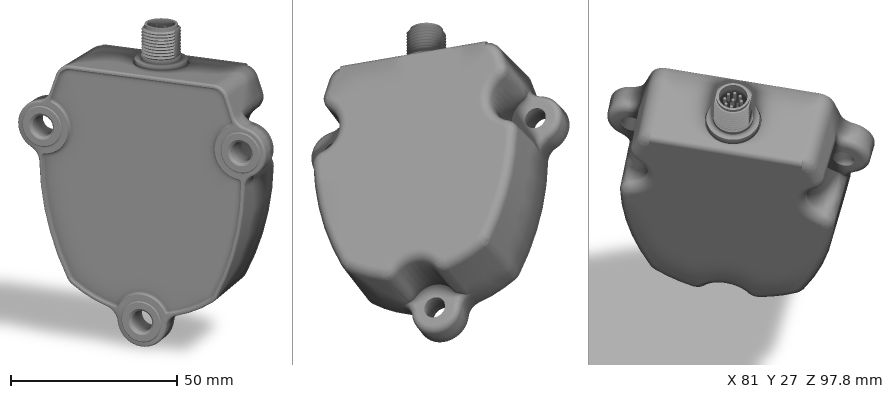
import cadquery as cq
import math


HOUSING_DEPTH = 26.7
DRAFT_ANGLE = 1.8
TOP_Z = 20.2
TOP_HALF_WIDTH = 26.9
SHOULDER_HALF_WIDTH = 32.3
SHOULDER_Z = 4.9
SIDE_MID_X = 30.9
SIDE_MID_Z = -30.3
HIP_HALF_WIDTH = 23.9
HIP_Z = -48.1
BOTTOM_Z = -56.0
CORNER_RADIUS = 5.0
BACK_FILLET = 2.9
TOP_BACK_FILLET = 1.5
TOP_FLAT_HALF_WIDTH = 23.4
RIM_DEPTH = 1.4
RIM_FILLET = 0.7

EAR_RADIUS = 8.0
EAR_DEPTH = 8.3
EAR_JUNCTION_RADIUS = 5.0
EAR_BACK_FILLET = 2.0
EAR_X = 32.5
EAR_ZONE = 12.7
LOWER_EAR_Z = -57.6
EAR_CENTRES = [(-EAR_X, 0), (EAR_X, 0), (0, LOWER_EAR_Z)]
NOTCH_RADIUS = 7.3
NOTCH_LIP_RADIUS = 4.0
HOLE_RADIUS = 3.3
HOLE_CHAMFER = 0.8
PAD_RADIUS = 6.5
PAD_HEIGHT = 0.3
PAD_CHAMFER = 0.3

COVER_INSET = 1.0
COVER_DEPTH = 1.0
COVER_COVE = 0.9
COVER_EAR_RADIUS = 8.5
COVER_CORNER_RADIUS = 1.0

CONNECTOR_Y = 15.2
CONNECTOR_TOP_Z = 32.2
NOSE_RADIUS = 5.0
THREAD_TOP_Z = 31.1
THREAD_BOTTOM_Z = 22.3
THREAD_TURNS = 9
THREAD_CREST_RADIUS = 6.1
THREAD_ROOT_RADIUS = 5.5
THREAD_FLAT_X = 5.3
COLLAR_RADIUS = 6.1
FLANGE_RADIUS = 8.0
FLANGE_TOP_Z = 21.1
SEAT_RADIUS = 8.5
SEAT_Z = 18.8
SOCKET_RADIUS = 4.3
SOCKET_DEPTH = 8.8
PIN_RADIUS = 0.5
PIN_CIRCLE_RADIUS = 2.5
PIN_TIP_FILLET = 0.3
PIN_LENGTH = 7.3
PIN_POSITIONS = 8
KEY_RADIUS = 0.7
KEY_CIRCLE_RADIUS = 4.0
KEY_ANGLE = 135


def facing_back(y):
    """Workplane at depth y whose extrusions run towards +Y, with local Y along Z."""
    return cq.Workplane(cq.Plane(origin=(0, y, 0), xDir=(-1, 0, 0), normal=(0, 1, 0)))


def housing_outline(y):
    """Closed sharp-cornered housing outline at depth y."""
    return (
        facing_back(y)
        .moveTo(-TOP_HALF_WIDTH, TOP_Z)
        .lineTo(TOP_HALF_WIDTH, TOP_Z)
        .lineTo(SHOULDER_HALF_WIDTH, SHOULDER_Z)
        .threePointArc((SIDE_MID_X, SIDE_MID_Z), (HIP_HALF_WIDTH, HIP_Z))
        .threePointArc((0, BOTTOM_Z), (-HIP_HALF_WIDTH, HIP_Z))
        .threePointArc((-SIDE_MID_X, SIDE_MID_Z), (-SHOULDER_HALF_WIDTH, SHOULDER_Z))
        .close()
    )


def drafted_housing(depth):
    return housing_outline(RIM_DEPTH).extrude(depth, taper=DRAFT_ANGLE)


def ear_cylinders(radius, front_y, length, taper=0):
    return facing_back(front_y).pushPoints(EAR_CENTRES).circle(radius).extrude(length, taper=taper)


def ear_zones():
    """Selects whatever lies close to a mounting ear."""
    zones = [
        cq.selectors.BoxSelector(
            (x - EAR_ZONE, -HOUSING_DEPTH, z - EAR_ZONE),
            (x + EAR_ZONE, HOUSING_DEPTH, z + EAR_ZONE),
        )
        for x, z in EAR_CENTRES
    ]
    return zones[0] + zones[1] + zones[2]


def upright_edges(body):
    """Edges that run from the front face to the back face."""
    return body.edges("not (<Y or >Y)")


def round_corners(body, radius):
    return upright_edges(body).edges(-ear_zones()).fillet(radius)


def round_ear_edges(body, radius):
    return upright_edges(body).edges(ear_zones()).fillet(radius)


def notched_body():
    """Full-depth housing with the screw clearance notches beside the ears."""
    depth = HOUSING_DEPTH - RIM_DEPTH
    body = drafted_housing(depth)
    body = body.cut(ear_cylinders(NOTCH_RADIUS, RIM_DEPTH, depth, -DRAFT_ANGLE))
    body = round_ear_edges(body, NOTCH_LIP_RADIUS)
    body = round_corners(body, CORNER_RADIUS)

    rounded = body.faces(">Y").edges().fillet(BACK_FILLET)
    tighter = body.faces(">Y").edges().fillet(TOP_BACK_FILLET)
    top_strip = cq.Workplane("XY", origin=(0, HOUSING_DEPTH, TOP_Z)).box(
        2 * TOP_FLAT_HALF_WIDTH, 2 * BACK_FILLET, 4 * BACK_FILLET
    )
    return rounded.union(tighter.intersect(top_strip))


def ear_slab():
    """Front part of the housing, carrying the mounting ears."""
    depth = EAR_DEPTH - RIM_DEPTH
    slab = drafted_housing(depth).union(ear_cylinders(EAR_RADIUS, RIM_DEPTH, depth, DRAFT_ANGLE))
    slab = round_corners(round_ear_edges(slab, EAR_JUNCTION_RADIUS), CORNER_RADIUS)
    return slab.faces(">Y").edges().fillet(EAR_BACK_FILLET)


def housing():
    """Housing and ears on a straight-sided front rim."""
    slab = ear_slab()
    rim = slab.faces("<Y").wires().toPending().extrude(-RIM_DEPTH, combine=False)
    shell = notched_body().union(slab).union(rim)
    return shell.faces("<Y").edges().fillet(RIM_FILLET)


def cover_recess():
    """Shallow recess in the front face, skirting the ears, with a coved foot."""
    blank = housing_outline(0).offset2D(-COVER_INSET).extrude(COVER_DEPTH)
    blank = round_corners(blank, CORNER_RADIUS - COVER_INSET)
    blank = blank.cut(ear_cylinders(COVER_EAR_RADIUS, 0, COVER_DEPTH))
    blank = round_ear_edges(blank, COVER_CORNER_RADIUS)
    return blank.faces(">Y").edges().fillet(COVER_COVE)


def pads():
    """Raised chamfered disc around the front of every mounting hole."""
    discs = ear_cylinders(PAD_RADIUS, -PAD_HEIGHT, EAR_DEPTH / 2)
    return discs.faces("<Y").edges().chamfer(PAD_CHAMFER)


def mounting_holes():
    """Through holes, countersunk at the front."""
    holes = ear_cylinders(HOLE_RADIUS, -PAD_HEIGHT, HOUSING_DEPTH)
    for x, z in EAR_CENTRES:
        countersink = cq.Solid.makeCone(
            HOLE_RADIUS + HOLE_CHAMFER,
            HOLE_RADIUS,
            HOLE_CHAMFER,
            cq.Vector(x, -PAD_HEIGHT, z),
            cq.Vector(0, 1, 0),
        )
        holes = holes.union(cq.Workplane(countersink))
    return holes


def upright_cylinder(radius, bottom_z, top_z):
    """Cylinder on the connector axis."""
    base = cq.Workplane("XY", origin=(0, CONNECTOR_Y, bottom_z))
    return base.circle(radius).extrude(top_z - bottom_z)


def polar(radius, angle):
    """Horizontal offset at an angle in degrees."""
    return (radius * math.cos(math.radians(angle)), radius * math.sin(math.radians(angle)), 0)


def thread():
    """Ridged barrel with V-shaped turns and a flat on each side."""
    pitch = (THREAD_TOP_Z - THREAD_BOTTOM_Z) / THREAD_TURNS
    profile = [(0, THREAD_BOTTOM_Z)]
    for turn in range(THREAD_TURNS):
        root_z = THREAD_BOTTOM_Z + turn * pitch
        profile.append((THREAD_ROOT_RADIUS, root_z))
        profile.append((THREAD_CREST_RADIUS, root_z + pitch / 2))
    profile.append((THREAD_ROOT_RADIUS, THREAD_TOP_Z))
    profile.append((0, THREAD_TOP_Z))
    barrel = (
        cq.Workplane("XZ", origin=(0, CONNECTOR_Y, 0))
        .polyline(profile)
        .close()
        .revolve(360, (0, 0, 0), (0, 1, 0))
    )
    flats = cq.Workplane("XY", origin=(0, CONNECTOR_Y, 0)).box(
        2 * THREAD_FLAT_X, 2 * FLANGE_RADIUS, 2 * CONNECTOR_TOP_Z
    )
    return barrel.intersect(flats)


def connector():
    """Threaded connector with its flange, socket, pins and keying rib."""
    plug = upright_cylinder(FLANGE_RADIUS, SEAT_Z, FLANGE_TOP_Z)
    plug = plug.union(upright_cylinder(COLLAR_RADIUS, FLANGE_TOP_Z, THREAD_BOTTOM_Z))
    plug = plug.union(thread())
    plug = plug.union(upright_cylinder(NOSE_RADIUS, THREAD_TOP_Z, CONNECTOR_TOP_Z))
    floor_z = CONNECTOR_TOP_Z - SOCKET_DEPTH
    plug = plug.cut(upright_cylinder(SOCKET_RADIUS, floor_z, CONNECTOR_TOP_Z))

    pin = upright_cylinder(PIN_RADIUS, floor_z, floor_z + PIN_LENGTH)
    pin = pin.faces(">Z").edges().fillet(PIN_TIP_FILLET)
    plug = plug.union(pin)
    for position in range(PIN_POSITIONS):
        angle = position * 360 / PIN_POSITIONS
        if angle != KEY_ANGLE:
            plug = plug.union(pin.translate(polar(PIN_CIRCLE_RADIUS, angle)))
    rib = upright_cylinder(KEY_RADIUS, floor_z, floor_z + PIN_LENGTH)
    rib = rib.translate(polar(KEY_CIRCLE_RADIUS, KEY_ANGLE))
    return plug.union(rib.intersect(upright_cylinder(NOSE_RADIUS, floor_z, CONNECTOR_TOP_Z)))


result = housing()
result = result.cut(cover_recess())
result = result.union(pads()).cut(mounting_holes())
result = result.cut(upright_cylinder(SEAT_RADIUS, SEAT_Z, FLANGE_TOP_Z))
result = result.union(connector())